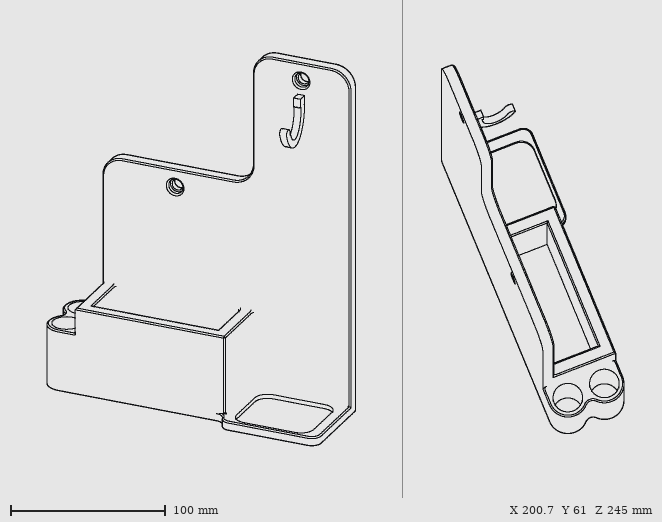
import cadquery as cq
import math


total_width = 200.7
total_depth = 61.0
total_height = 245.0

plate_left = 24.5
plate_thickness = 8.0
column_left = 131.5
shoulder_height = 152.0
plate_corner_radius = 14.0

edge_chamfer = 1.0
joint_fillet = 1.5

tube_radius = 12.7
tube_bore_diameter = 19.0
tube_height = 43.0
tube_valley_radius = 5.0

floor_thickness = 6.1

bin_right = 131.0
bin_height = 61.0
bin_wall = 8.8
bin_depth = 4 * tube_radius

tray_thickness = 6.1
tray_corner_radius = 6.5
pocket_depth = 3.0
pocket_corner_radius = 9.0
pocket_side_margin = 7.5
pocket_back_margin = 3.5
pocket_front_margin = 3.0

screw_diameter = 7.5
counterbore_diameter = 10.0
counterbore_depth = 4.0
rim_chamfer = 1.2
screw_drop = 12.5
column_screw_x = 165.7
shoulder_screw_x = 76.2

hook_width = 5.0
hook_band = 5.5
hook_block_top = 222.5
hook_block_bottom = 216.2
hook_block_reach = 6.4
hook_half_width = 15.0
hook_drop = 24.0
hook_tip_angle = math.radians(28)


def box(x0, x1, y0, y1, z0, z1):
    """Axis-aligned box between two opposite corners."""
    return cq.Workplane("XY").box(x1 - x0, y1 - y0, z1 - z0, centered=False).translate((x0, y0, z0))


def region(x0, x1, y0, y1, z0, z1):
    """Selector for the edges whose centre lies in a box, with a little slack all round."""
    slack = 0.12
    low = (x0 - slack, y0 - slack, z0 - slack)
    high = (x1 + slack, y1 + slack, z1 + slack)
    return cq.selectors.BoxSelector(low, high)


def make_plate():
    """Stepped plate with rounded corners and a chamfered front rim."""
    outline = [
        (plate_left, 0),
        (total_width, 0),
        (total_width, total_height),
        (column_left, total_height),
        (column_left, shoulder_height),
        (plate_left, shoulder_height),
    ]
    upper = region(0, total_width, -plate_thickness, 0, shoulder_height, total_height)
    plate = cq.Workplane("XZ").polyline(outline).close().extrude(plate_thickness)
    plate = plate.edges("|Y").edges(upper).fillet(plate_corner_radius)
    return plate.faces("<Y").chamfer(edge_chamfer)


def make_bin():
    """Open-topped bin with chamfered outer edges and a chamfered mouth."""
    block = box(plate_left, bin_right, -bin_depth, 0, 0, bin_height)
    block = block.edges(">Z or (>X and <Y)").edges("not(>Y)").chamfer(edge_chamfer)

    left = plate_left + bin_wall
    right = bin_right - bin_wall
    front = -bin_depth + bin_wall
    back = -plate_thickness
    cavity = box(left, right, front, back, floor_thickness, bin_height)
    mouth = box(
        left - edge_chamfer, right + edge_chamfer,
        front - edge_chamfer, back,
        bin_height - edge_chamfer, bin_height + edge_chamfer,
    )
    mouth = mouth.faces("<Z").edges("not(>Y)").chamfer(edge_chamfer)
    return block.cut(cavity).cut(mouth)


def make_tubes():
    """Two solid cylinders tied to the bin, with a rounded valley between them."""
    reach = math.sqrt((tube_radius + tube_valley_radius) ** 2 - tube_radius**2)
    valley_bottom_x = tube_radius - reach + tube_valley_radius
    middle = -bin_depth / 2
    tube_block_right = plate_left + bin_wall / 2
    tangent_share = tube_radius / (tube_radius + tube_valley_radius)
    tangent_x = tube_radius - reach * tangent_share
    tangent_offset = tube_radius * (1 - tangent_share)
    return (
        cq.Workplane("XY")
        .moveTo(tube_block_right, 0)
        .lineTo(tube_radius, 0)
        .radiusArc((tangent_x, middle + tangent_offset), -tube_radius)
        .threePointArc((valley_bottom_x, middle), (tangent_x, middle - tangent_offset))
        .radiusArc((tube_radius, -bin_depth), -tube_radius)
        .lineTo(tube_block_right, -bin_depth)
        .close()
        .extrude(tube_height)
        .faces(">Z")
        .edges("not(>X)")
        .chamfer(edge_chamfer)
    )


def make_tray():
    """Flat tray whose front left corner blends into the bin front with an S curve."""
    step = total_depth - bin_depth
    bend = math.acos(1 - step / (2 * tray_corner_radius))
    blend_half = tray_corner_radius * math.sin(bend)
    start = (column_left - blend_half, -bin_depth)
    middle = (column_left, -bin_depth - step / 2)
    end = (column_left + blend_half, -total_depth)
    return (
        cq.Workplane("XY")
        .moveTo(start[0], 0)
        .lineTo(*start)
        .radiusArc(middle, tray_corner_radius)
        .radiusArc(end, -tray_corner_radius)
        .lineTo(total_width - tray_corner_radius, -total_depth)
        .radiusArc((total_width, -total_depth + tray_corner_radius), -tray_corner_radius)
        .lineTo(total_width, 0)
        .close()
        .extrude(tray_thickness)
        .faces(">Z")
        .edges("not(>Y or <X)")
        .chamfer(edge_chamfer)
    )


def cut_pockets(body):
    """Tray recess and the two tube bores."""
    recess = box(
        bin_right + pocket_side_margin, total_width - pocket_side_margin,
        -total_depth + pocket_front_margin, -plate_thickness - pocket_back_margin,
        tray_thickness - pocket_depth, tray_thickness,
    ).edges("|Z").fillet(pocket_corner_radius)
    body = body.cut(recess)
    for bore_y in (-tube_radius, tube_radius - bin_depth):
        bore = cq.Workplane("XY", origin=(tube_radius, bore_y, floor_thickness))
        body = body.cut(bore.circle(tube_bore_diameter / 2).extrude(tube_height))
    return body


def make_screw_cutter(x, z):
    """Through hole with a counterbore whose rim is chamfered, entering from the front."""
    bore_radius = counterbore_diameter / 2
    shoulder = plate_thickness - counterbore_depth
    profile = [
        (0, 0),
        (screw_diameter / 2, 0),
        (screw_diameter / 2, shoulder),
        (bore_radius, shoulder),
        (bore_radius, plate_thickness - rim_chamfer),
        (bore_radius + rim_chamfer, plate_thickness),
        (0, plate_thickness),
    ]
    cutter = cq.Workplane("XY").polyline(profile).close().revolve(360, (0, 0), (0, 1))
    return cutter.rotate((0, 0, 0), (0, 0, 1), 180).translate((x, 0, z))


def make_hook():
    """Elliptical band with a round tip, hanging from a small block on the plate."""
    start = cq.Workplane("YZ", origin=(column_screw_x - hook_width / 2, 0, 0))
    center = start.center(-plate_thickness - hook_half_width, hook_block_bottom)
    inner_half_width = hook_half_width - hook_band
    inner_drop = hook_drop - hook_band
    outer = center.ellipse(hook_half_width, hook_drop).extrude(hook_width)
    ring = outer.cut(center.ellipse(inner_half_width, inner_drop).extrude(hook_width))

    tip_cos = math.cos(hook_tip_angle)
    tip_sin = math.sin(hook_tip_angle)
    kept_area = [
        (0, 0),
        (hook_half_width, 0),
        (hook_half_width, -hook_drop),
        (-hook_half_width, -hook_drop),
        (-hook_half_width * tip_cos, -hook_drop * tip_sin),
        (-inner_half_width * tip_cos, -inner_drop * tip_sin),
    ]
    band = ring.intersect(center.polyline(kept_area).close().extrude(hook_width))

    tip_y = -(hook_half_width - hook_band / 2) * tip_cos
    tip_z = -(hook_drop - hook_band / 2) * tip_sin
    tip = center.center(tip_y, tip_z).circle(hook_band / 2).extrude(hook_width)
    block = box(
        column_screw_x - hook_width / 2, column_screw_x + hook_width / 2,
        -plate_thickness - hook_block_reach, -plate_thickness,
        hook_block_bottom, hook_block_top,
    )
    return block.union(band).union(tip)


def fillet_joints(body):
    """Round the inside corners where the plate, bin, tubes and tray meet."""
    front = -plate_thickness
    joints = [
        region(plate_left, plate_left, -bin_depth, 0, tube_height, tube_height),
        region(plate_left, bin_right, front, front, bin_height / 2, bin_height),
        region(bin_right, total_width, front, front, tray_thickness, tray_thickness),
        region(bin_right - edge_chamfer / 2, bin_right, -bin_depth, front, tray_thickness, tray_thickness),
    ]
    edges = [edge for joint in joints for edge in body.edges(joint).vals()]
    return body.newObject(edges).fillet(joint_fillet)


shell = make_plate().union(make_bin()).union(make_tubes()).union(make_tray())
result = cut_pockets(fillet_joints(shell)).union(make_hook())
for screw_x, screw_z in (
    (column_screw_x, total_height - screw_drop),
    (shoulder_screw_x, shoulder_height - screw_drop),
):
    result = result.cut(make_screw_cutter(screw_x, screw_z))